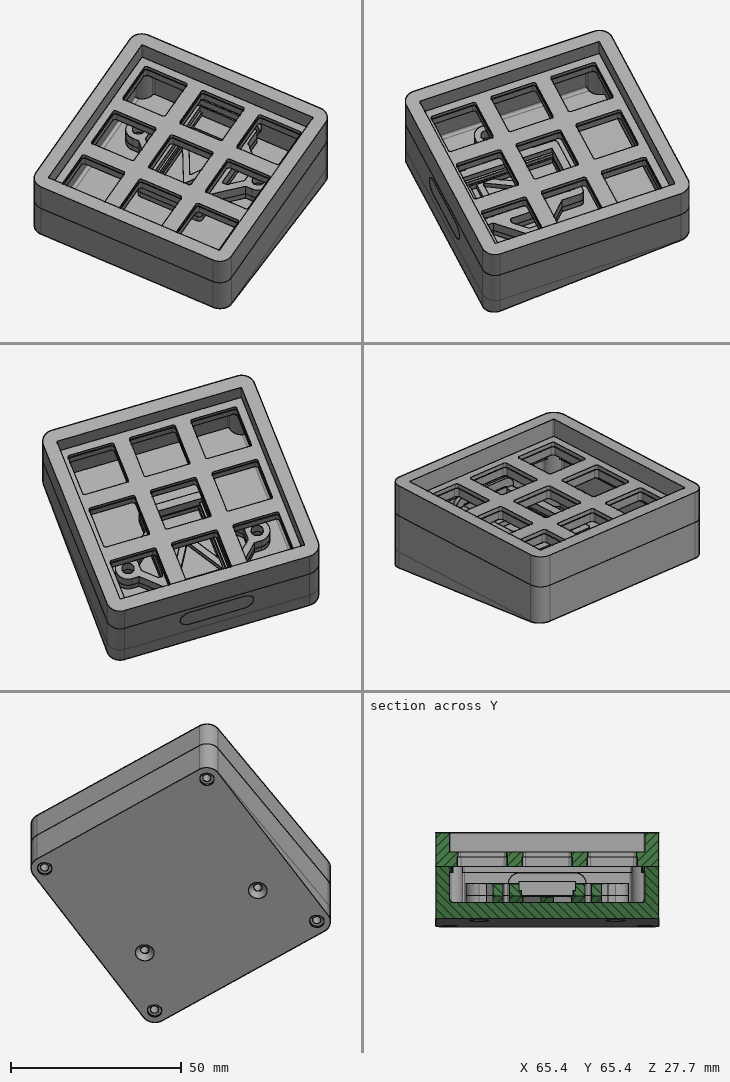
import cadquery as cq
import math

side = 65.4
corner_radius = 4.0
tilt_angle = 5.0
total_height = 27.7
upper_height = 10.0
wedge_height = side * math.tan(math.radians(tilt_angle))
top_z = total_height
split_z = top_z - upper_height
screw_offset = side / 2 - corner_radius

recess_side = 57.15
recess_depth = 5.7
recess_corner_radius = 0.25
key_pitch = 19.0
keys_per_row = 3
key_window = 14.2
key_window_radius = 0.65
key_relief = 14.6
key_relief_radius = 1.0
clip_thickness = 1.5
plate_top_z = top_z - recess_depth

cavity_corner_radius = 0.5
floor_thickness = 1.5
floor_z = wedge_height + floor_thickness
floor_fillet = 1.0
lip_depth = 1.7
lip_thickness = 0.65
post_radius = corner_radius

ear_hole_diameter = 3.5
through_diameter = 2.4
insert_diameter = 3.5
corner_head_diameter = 4.2
corner_head_depth = 0.65
ear_head_diameter = 5.5
insert_depth = 3.3

base_height = 2.0
holder_height = 3.45
base_top_z = floor_z + base_height
holder_top_z = base_top_z + holder_height
holder_half_width = 10.65
holder_front_y = -7.4
holder_back_y = 27.15
holder_corner_radius = 1.2
well_half_width = 8.25
well_front_y = -5.0
well_back_y = 26.7
well_ledge_width = 0.65
well_ledge_height = 1.45
well_ledge_z = base_top_z + well_ledge_height
lower_well_half_width = well_half_width - well_ledge_width
base_ledge_width = 0.45
base_well_half_width = lower_well_half_width - base_ledge_width
base_well_front_y = -4.7
base_well_back_y = 21.65
ledge_height = 0.6

ear_x = 20.0
ear_y = 10.7
ear_radius = 3.7
ear_neck_x = 17.85
ear_pocket_outer_x = 16.55
ear_pocket_inner_x = 11.1
ear_pocket_half_height = 5.8
ear_pocket_bevel = 3.85
ear_pocket_radius = 0.5

truss_back_y = 19.5
truss_front_y = 1.75
truss_band = 1.9
truss_height = 1.7
truss_radius = 0.3

port_half_width = 11.4
port_height = 6.7
port_corner_radius = 3.3
port_bottom_z = base_top_z


def rounded_block(width, radius, bottom, top):
    """Square block with rounded upright edges, centred on the Z axis."""
    block = cq.Workplane("XY").workplane(offset=bottom).rect(width, width).extrude(top - bottom)
    return block.edges("|Z").fillet(radius)


def upright_cylinders(points, radius, bottom, top):
    """Upright cylinders at the given places."""
    circles = cq.Workplane("XY").workplane(offset=bottom).pushPoints(points).circle(radius)
    return circles.extrude(top - bottom)


def box_between(x_min, x_max, y_min, y_max, z_min, z_max):
    """Box given by its limits."""
    size = (x_max - x_min, y_max - y_min, z_max - z_min)
    return cq.Workplane("XY").box(*size, centered=False).translate((x_min, y_min, z_min))


def port_block(y_min, y_max):
    """Rounded-end block of the port, running along Y."""
    block = box_between(
        -port_half_width, port_half_width, y_min, y_max, port_bottom_z, port_bottom_z + port_height
    )
    return block.edges("|Y").fillet(port_corner_radius)


corner_screws = [(sx * screw_offset, sy * screw_offset) for sx in (-1, 1) for sy in (-1, 1)]
ear_screws = [(sx * ear_x, ear_y) for sx in (-1, 1)]


def hollow(width, bottom, top):
    """Inside of the case less the screw posts in its corners."""
    cavity = cq.Workplane("XY").workplane(offset=bottom).rect(width, width).extrude(top - bottom)
    cavity = cavity.cut(upright_cylinders(corner_screws, post_radius, bottom, top))
    return cavity.edges("|Z").fillet(cavity_corner_radius)


def key_openings(width, radius, bottom, top):
    """Grid of square key openings."""
    openings = cq.Workplane("XY").workplane(offset=bottom)
    openings = openings.rarray(key_pitch, key_pitch, keys_per_row, keys_per_row)
    openings = openings.rect(width, width)
    return openings.extrude(top - bottom).edges("|Z").fillet(radius)


def make_top_case():
    case = rounded_block(side, corner_radius, split_z, top_z)
    lip = hollow(recess_side, split_z - lip_depth, split_z)
    lip = lip.cut(hollow(recess_side - 2 * lip_thickness, split_z - lip_depth, split_z))
    case = case.union(lip)
    case = case.cut(rounded_block(recess_side, recess_corner_radius, plate_top_z, top_z))
    clip_bottom_z = plate_top_z - clip_thickness
    case = case.cut(key_openings(key_window, key_window_radius, clip_bottom_z, plate_top_z))
    case = case.cut(key_openings(key_relief, key_relief_radius, split_z, clip_bottom_z))
    case = case.cut(upright_cylinders(corner_screws, insert_diameter / 2, split_z, split_z + insert_depth))
    return case.cut(port_block(holder_back_y, side / 2))


def wedge():
    """Tapered foot of the case, between its level base and the tilted underside."""
    half = side / 2
    profile = [(half, 0), (half, wedge_height), (-half, wedge_height)]
    taper = cq.Workplane("YZ").polyline(profile).close().extrude(half, both=True)
    return taper.intersect(rounded_block(side, corner_radius, 0, wedge_height))


def on_underside(recess, points):
    """Copies of a recess, each square to the tilted underside at its place."""
    copies = []
    for x, y in points:
        underside_z = (side / 2 - y) * math.tan(math.radians(tilt_angle))
        copies.append(recess.rotate((0, 0, 0), (1, 0, 0), -tilt_angle).translate((x, y, underside_z)))
    return copies


def corner_head_recess():
    """Flat-bottomed recess for a corner screw head."""
    return cq.Workplane("XY").circle(corner_head_diameter / 2).extrude(corner_head_depth, both=True)


def ear_head_recess():
    """Countersink for the head of an ear screw, with 45 degree sides."""
    head_radius = ear_head_diameter / 2
    through_radius = through_diameter / 2
    half_section = [
        (0, -head_radius),
        (head_radius, -head_radius),
        (head_radius, 0),
        (through_radius, head_radius - through_radius),
        (0, head_radius - through_radius),
    ]
    return cq.Workplane("XZ").polyline(half_section).close().revolve(360, (0, 0), (0, 1))


def make_bottom_case():
    cavity = hollow(recess_side, floor_z, split_z)
    room = box_between(
        -recess_side / 2, recess_side / 2, -recess_side / 2, recess_side / 2, floor_z, split_z
    )
    cavity = cavity.intersect(room.edges("|Y and <Z").fillet(floor_fillet))
    case = rounded_block(side, corner_radius, wedge_height, split_z)
    case = case.cut(cavity)
    case = case.union(wedge(), clean=False)
    screws = upright_cylinders(corner_screws + ear_screws, through_diameter / 2, 0, split_z)
    corner_heads = on_underside(corner_head_recess(), corner_screws)
    ear_heads = on_underside(ear_head_recess(), ear_screws)
    for removed in (screws, port_block(holder_back_y, side / 2), *corner_heads, *ear_heads):
        case = case.cut(removed, clean=False)
    return case


def holder_blank(bottom, height):
    """Holder outline with its screw ears and their pockets, as a plate."""
    body = box_between(
        -holder_half_width, holder_half_width, holder_front_y, holder_back_y, bottom, bottom + height
    )
    body = body.edges("|Z and <Y").fillet(holder_corner_radius)
    slope_run = ear_neck_x - holder_half_width
    for sx in (-1, 1):
        ear = [
            (0, ear_y + ear_radius + slope_run),
            (sx * holder_half_width, ear_y + ear_radius + slope_run),
            (sx * ear_neck_x, ear_y + ear_radius),
            (sx * ear_x, ear_y + ear_radius),
            (sx * ear_x, ear_y - ear_radius),
            (sx * ear_neck_x, ear_y - ear_radius),
            (sx * holder_half_width, ear_y - ear_radius - slope_run),
            (0, ear_y - ear_radius - slope_run),
        ]
        ear_plate = cq.Workplane("XY").workplane(offset=bottom).polyline(ear).close().extrude(height)
        body = body.union(ear_plate)
    body = body.union(upright_cylinders(ear_screws, ear_radius, bottom, bottom + height))
    for sx in (-1, 1):
        bevel_x = ear_pocket_outer_x - ear_pocket_bevel
        pocket = [
            (sx * ear_pocket_inner_x, ear_y + ear_pocket_half_height),
            (sx * bevel_x, ear_y + ear_pocket_half_height),
            (sx * ear_pocket_outer_x, ear_y + ear_pocket_half_height - ear_pocket_bevel),
            (sx * ear_pocket_outer_x, ear_y - ear_pocket_half_height + ear_pocket_bevel),
            (sx * bevel_x, ear_y - ear_pocket_half_height),
            (sx * ear_pocket_inner_x, ear_y - ear_pocket_half_height),
        ]
        cut = cq.Workplane("XY").workplane(offset=bottom).polyline(pocket).close().extrude(height)
        body = body.cut(cut.edges("|Z").fillet(ear_pocket_radius))
    return body.cut(upright_cylinders(ear_screws, ear_hole_diameter / 2, bottom, bottom + height))


def truss_triangle(inset, radius):
    """Equilateral triangle with its point toward -Y and its sides moved inward by the inset."""
    back = truss_back_y - inset
    front = truss_front_y + 2 * inset
    half = (back - front) / math.sqrt(3)
    outline = [(-half, back), (half, back), (0, front)]
    triangle = cq.Workplane("XY").workplane(offset=floor_z).polyline(outline).close().extrude(truss_height)
    return triangle.edges("|Z").fillet(radius)


def make_base():
    base = holder_blank(floor_z, base_height)
    well = box_between(
        -base_well_half_width, base_well_half_width, base_well_front_y, base_well_back_y, floor_z, base_top_z
    )
    truss = truss_triangle(0, truss_radius)
    truss = truss.cut(truss_triangle(truss_band, truss_radius))
    return base.cut(well.cut(truss))


def make_holder():
    holder = holder_blank(base_top_z, holder_height)
    ledge = box_between(
        -well_half_width,
        well_half_width,
        well_back_y,
        holder_back_y,
        holder_top_z,
        holder_top_z + ledge_height,
    )
    lower_well = box_between(
        -lower_well_half_width, lower_well_half_width, well_front_y, well_back_y, base_top_z, well_ledge_z
    )
    upper_well = box_between(
        -well_half_width, well_half_width, well_front_y, well_back_y, well_ledge_z, holder_top_z
    )
    return holder.union(ledge).cut(lower_well).cut(upper_well)


top_case = make_top_case()
bottom_case = make_bottom_case()
base = make_base()
holder = make_holder()
bezel = port_block(holder_back_y, side / 2)

result = cq.Compound.makeCompound(
    [top_case.val(), bottom_case.val(), base.val(), holder.val(), bezel.val()]
)